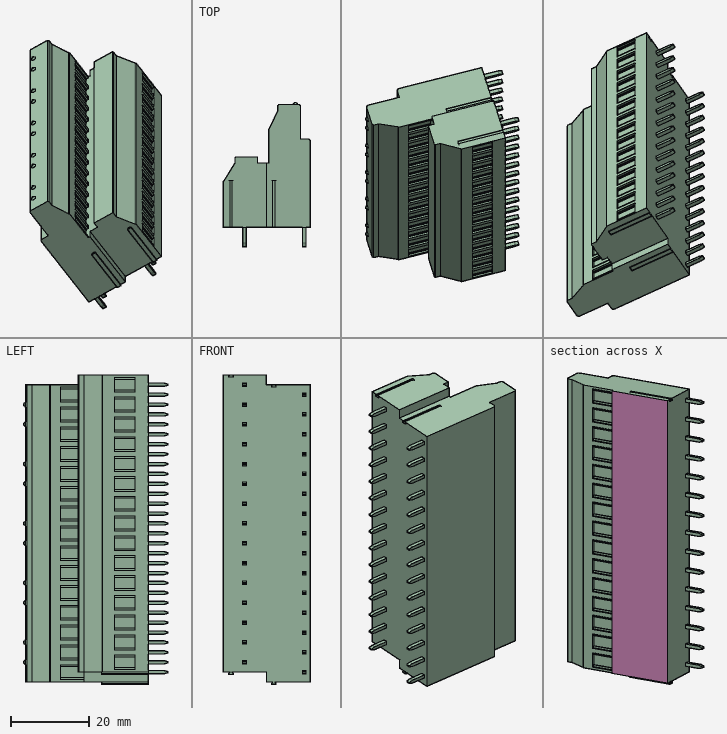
import cadquery as cq


pole_count = 15
pitch = 5.08
module_poles = 3
block_depth = 22.3
block_height = 32.0
row_length = pole_count * pitch
stagger = pitch / 2

tier_depth = 11.08
shoulder_height = 11.78
lip = 0.2
low_slope_top = 16.5
low_top = 18.05
low_ridge_start = 3.0
low_ridge_end = 8.8

high_face_x = 11.6
high_slope_base = 25.15
high_slope_top = 29.85
high_top = 31.5
high_ridge_start = 13.95
high_ridge_end = 19.85
back_step_height = 22.65
corner_chamfer = 0.35

pocket_length = 3.8
pocket_floor_length = 2.8
pocket_step_depth = 0.5
pocket_depth = 0.7
pocket_height = 5.3
low_pocket_base = 3.45
high_pocket_top = 22.5

pin_width = 1.0
pin_thickness = 0.9
pin_length = 5.0
pin_tip_length = 1.0
pin_tip_thickness = 0.3
pin_root = 1.0
low_pin_x = 5.45
high_pin_x = 20.75

tab_length = 12.0
tab_height = 0.6
tab_neck = 0.6
tab_width = 1.2
tab_flank_height = 0.35
low_tab_x = 2.0
high_tab_x = 12.98

nub_x = 18.5
nub_base_radius = 0.65
nub_tip_radius = 0.2
nub_height = block_height - high_top


def extrude_outline(points, z_base):
    outline = cq.Workplane("XY").workplane(offset=z_base).polyline(points).close()
    return outline.extrude(row_length)


def low_tier():
    points = [
        (0, 0),
        (tier_depth, 0),
        (tier_depth, low_slope_top),
        (low_ridge_end, low_slope_top),
        (low_ridge_end, low_top),
        (low_ridge_start + lip, low_top),
        (low_ridge_start, low_top - lip),
        (low_ridge_start, low_slope_top),
        (lip, shoulder_height + lip),
        (0, shoulder_height),
    ]
    return extrude_outline(points, stagger)


def high_tier():
    points = [
        (tier_depth, 0),
        (block_depth, 0),
        (block_depth, back_step_height - corner_chamfer),
        (block_depth - corner_chamfer, back_step_height),
        (high_ridge_end, back_step_height),
        (high_ridge_end, high_top - corner_chamfer),
        (high_ridge_end - corner_chamfer, high_top),
        (high_ridge_start + corner_chamfer, high_top),
        (high_ridge_start, high_top - corner_chamfer),
        (high_ridge_start, high_slope_top),
        (high_face_x + lip, high_slope_base + lip),
        (high_face_x, high_slope_base),
        (high_face_x, low_slope_top),
        (tier_depth, low_slope_top),
    ]
    return extrude_outline(points, 0)


def pole_centers(row_base):
    return [row_base + (index + 0.5) * pitch for index in range(pole_count)]


def pocket_box(face_x, y_base, y_top, z_center, depth, length):
    box = cq.Workplane("XY").box(depth, y_top - y_base, length, centered=(False, False, True))
    return box.translate((face_x, y_base, z_center))


def wire_pocket(face_x, y_base, y_top, z_center):
    """Shallow pocket in a -X face with a ledge at each Z end."""
    opening = pocket_box(face_x, y_base, y_top, z_center, pocket_step_depth, pocket_length)
    floor = pocket_box(face_x, y_base, y_top, z_center, pocket_depth, pocket_floor_length)
    return opening.union(floor)


def solder_pin(x_center, z_center):
    """Flat pin pointing to -Y, tapered along Z to a blunt tip."""
    half = pin_thickness / 2
    half_tip = pin_tip_thickness / 2
    points = [
        (pin_root, -half),
        (pin_root, half),
        (pin_tip_length - pin_length, half),
        (-pin_length, half_tip),
        (-pin_length, -half_tip),
        (pin_tip_length - pin_length, -half),
    ]
    plane = cq.Workplane("YZ", origin=(x_center - pin_width / 2, 0, z_center))
    return plane.polyline(points).close().extrude(pin_width)


def dovetail(x_center, z_root):
    """Dovetail bar that widens toward -Z, running up from the board side."""
    points = [
        (x_center - tab_neck / 2, z_root),
        (x_center + tab_neck / 2, z_root),
        (x_center + tab_width / 2, z_root - tab_flank_height),
        (x_center + tab_width / 2, z_root - tab_height),
        (x_center - tab_width / 2, z_root - tab_height),
        (x_center - tab_width / 2, z_root - tab_flank_height),
    ]
    return cq.Workplane("XZ").polyline(points).close().extrude(-tab_length)


def marker_nub(z_center):
    """Cone frustum standing on the top of the high tier."""
    points = [
        (0, 0),
        (nub_base_radius, 0),
        (nub_tip_radius, nub_height),
        (0, nub_height),
    ]
    nub = cq.Workplane("XY").polyline(points).close().revolve(360, (0, 0, 0), (0, 1, 0))
    return nub.translate((nub_x, high_top, z_center))


def add_row(body, row_base, face_x, pocket_base, pocket_top, pin_x, tab_x):
    for z_center in pole_centers(row_base):
        body = body.cut(wire_pocket(face_x, pocket_base, pocket_top, z_center))
        body = body.union(solder_pin(pin_x, z_center))
    body = body.union(dovetail(tab_x, row_base))
    return body.cut(dovetail(tab_x, row_base + row_length))


def add_marker_nubs(body):
    """One nub at every pole boundary inside a module, none between modules."""
    for index in range(1, pole_count):
        if index % module_poles:
            body = body.union(marker_nub(index * pitch))
    return body


housing = low_tier().union(high_tier())
housing = add_row(
    housing, stagger, 0, low_pocket_base, low_pocket_base + pocket_height, low_pin_x, low_tab_x
)
housing = add_row(
    housing, 0, high_face_x, low_slope_top, high_pocket_top, high_pin_x, high_tab_x
)
result = add_marker_nubs(housing)